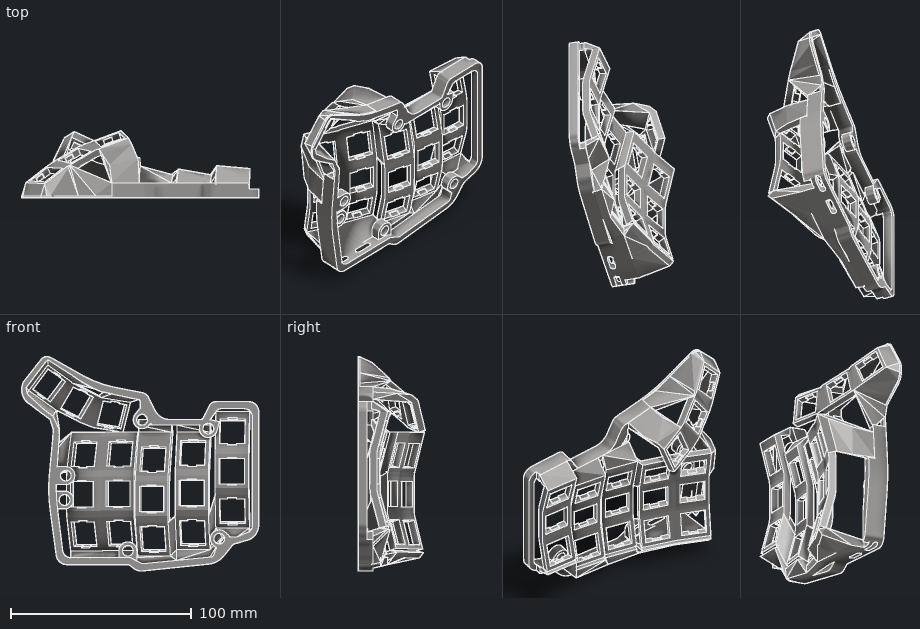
import cadquery as cq
import math


PLATE_W = 18.7
PLATE_H = 19.0
THUMB_PLATE = 17.6
PLATE_T = 4.0
HOLE = 14.0
NOTCH_W = 5.0
NOTCH_DEPTH = 0.7
NOTCH_Y = 2.8
ROW_GAP = 3.55
ROW_TILT = 15.0
TENT_STEP = 5.0
BEVEL = 0.5
LIP_EXTRA = 2.0

COLUMN_CENTRES = [
    (33.2, 23.5, 42.7),
    (53.2, 15.6, 43.0),
    (71.8, 4.6, 40.0),
    (94.0, 4.5, 43.4),
    (116.2, 7.2, 55.4),
]
BEVEL_START_Z = [73.8, 74.4, 73.4, 77.0, 88.4]
RIM_TOP_Z = [77.0, 77.2, 77.0, 77.0, 88.4]

THUMB_POSES = [
    ((15.2, 9.5, 102.8), (26.0, 20.0, 31.5)),
    ((30.6, 19.8, 93.1), (22.0, 19.1, 24.9)),
    ((50.0, 28.55, 86.5), (17.9, 17.1, 8.9)),
]

RIM_Y = 8.3
RIM_LOW_Y = 5.0
RIM_THUMB_Y = 1.1
LEFT_WALL_Y = 12.2
LOW_X = 126.0
THUMB_RIGHT_X = 49.9
THUMB_BOTTOM_Z = 72.1
LEFT_WALL_X = 21.5
LEFT_WALL_Z = (3.65, 52.0)
RIM_W = 3.95
STEEP_HEEL_Y = 16.2
HEEL_Y = 12.5
HEEL_RISE = 0.9

OUTER = [
    (12.9, 120.15, 4.0),
    (42.2, 103.7, 60.0),
    (69.1, 98.5, 5.0),
    (76.3, 84.1, 9.0),
    (99.9, 84.1, 1.5),
    (105.0, 94.0, 4.0),
    (131.2, 94.0, 5.7),
    (131.2, 19.1, 8.9),
    (117.0, 14.9, 3.0),
    (108.6, 4.5, 13.0),
    (64.2, -0.1, 7.0),
    (59.2, 3.65, 1.0),
    (19.7, 3.65, 6.2),
    (14.3, 44.0, 85.0),
    (17.9, 82.4, 5.0),
    (-0.07, 95.7, 9.0),
    (-0.07, 103.3, 6.0),
]
INNER = [
    (14.6, 117.7, 1.5),
    (35.0, 103.5, 30.0),
    (43.4, 99.5, 10.0),
    (65.5, 94.8, 1.0),
    (65.5, 90.0, 3.0),
    (72.0, 81.0, 2.0),
    (102.0, 80.9, 3.0),
    (108.8, 90.0, 3.0),
    (127.5, 90.0, 4.5),
    (127.5, 22.7, 4.0),
    (119.0, 19.0, 4.0),
    (112.0, 19.0, 3.0),
    (107.2, 12.0, 2.0),
    (106.0, 8.1, 2.0),
    (66.6, 4.2, 3.0),
    (60.2, 7.6, 1.0),
    (23.2, 7.6, 4.5),
    (18.7, 44.0, 85.0),
    (21.0, 78.9, 8.0),
    (2.3, 97.2, 3.0),
    (1.7, 100.7, 3.0),
]

LEFT_BULGE = [(17.5, 21.0, 53.0), (17.9, 21.0, 69.0), (21.5, 23.0, 71.3)]
THUMB_BULGE = [(48.6, 18.0, 101.2), (64.4, 21.5, 98.5)]
THUMB_LIP = 1.0

BOSS_R = 4.95
SCREW_D = 5.9
BOSS_H = 5.0
BOSSES = [
    ((24.4, 53.0), (17.0, 53.0), 0.0),
    ((23.7, 39.5), (17.0, 39.5), 2.4),
    ((66.6, 83.9), (70.0, 88.0), 0.0),
    ((103.2, 79.0), (104.5, 84.0), 0.0),
    ((109.3, 18.1), (112.5, 15.0), 0.0),
    ((58.7, 11.4), (58.7, 6.0), 3.0),
]

SLOT_X = (25.8, 43.0)
SLOT_Y = 4.2
SLOT_L = 10.5
SLOT_H = 3.0


def sub(a, b):
    return tuple(p - q for p, q in zip(a, b))


def add(a, b):
    return tuple(p + q for p, q in zip(a, b))


def dot(a, b):
    return sum(p * q for p, q in zip(a, b))


def cross(a, b):
    return (
        a[1] * b[2] - a[2] * b[1],
        a[2] * b[0] - a[0] * b[2],
        a[0] * b[1] - a[1] * b[0],
    )


def unit(a):
    length = math.sqrt(dot(a, a))
    return tuple(p / length for p in a)


def mix(a, b, t):
    return tuple(p + (q - p) * t for p, q in zip(a, b))


def hull_face(points, i, j, k, flat=1e-5):
    """Indices of the hull face through three points, in order, or None."""
    normal = cross(sub(points[j], points[i]), sub(points[k], points[i]))
    if dot(normal, normal) < flat * flat * 1e6:
        return None
    normal = unit(normal)
    heights = [dot(normal, sub(p, points[i])) for p in points]
    if max(heights) > flat and min(heights) < -flat:
        return None
    u = unit(sub(points[j], points[i]))
    v = cross(normal, u)
    on_face = [n for n, h in enumerate(heights) if abs(h) <= flat]
    flattened = {n: (round(dot(points[n], u), 6), round(dot(points[n], v), 6)) for n in on_face}
    on_face.sort(key=flattened.get)
    return half_border(on_face, flattened) + half_border(on_face[::-1], flattened)


def half_border(order, flattened, straight=1e-4):
    """One side of a flat convex border, leaving out its last point and all inner points."""
    border = []
    for n in order:
        while len(border) > 1:
            ax, ay = sub(flattened[border[-1]], flattened[border[-2]])
            bx, by = sub(flattened[n], flattened[border[-1]])
            if ax * by - ay * bx > straight:
                break
            border.pop()
        border.append(n)
    return border[:-1]


def hull(points):
    """Convex solid wrapped around a few points."""
    points = list(dict.fromkeys(tuple(round(c, 9) for c in p) for p in points))
    count = len(points)
    faces = {}
    for i in range(count):
        for j in range(i + 1, count):
            for k in range(j + 1, count):
                face = hull_face(points, i, j, k)
                if face:
                    faces[frozenset(face)] = face
    shells = []
    for face in faces.values():
        wire = cq.Wire.makePolygon([cq.Vector(*points[n]) for n in face], close=True)
        shells.append(cq.Face.makeFromWires(wire))
    return cq.Solid.makeSolid(cq.Shell.makeShell(shells))


def rounded_outline(corners, depth):
    """Polygon in XZ with rounded corners, extruded from Y = 0 to Y = depth."""
    steps = []
    for n, (x, z, radius) in enumerate(corners):
        before = corners[n - 1]
        after = corners[(n + 1) % len(corners)]
        to_before = unit((before[0] - x, before[1] - z))
        to_after = unit((after[0] - x, after[1] - z))
        half = math.acos(dot(to_before, to_after)) / 2
        reach = radius / math.tan(half)
        bisector = unit(add(to_before, to_after))
        top = radius / math.sin(half) - radius
        start = (x + to_before[0] * reach, z + to_before[1] * reach)
        middle = (x + bisector[0] * top, z + bisector[1] * top)
        end = (x + to_after[0] * reach, z + to_after[1] * reach)
        steps.append((start, middle, end))
    path = cq.Workplane("XZ").moveTo(*steps[0][0])
    for n, (start, middle, end) in enumerate(steps):
        if n:
            path = path.lineTo(*start)
        path = path.threePointArc(middle, end)
    return path.close().extrude(-depth)


def box(x0, x1, y0, y1, z0, z1):
    return cq.Workplane("XY").box(x1 - x0, y1 - y0, z1 - z0, centered=False).translate((x0, y0, z0))


def turn(point, axis, degrees):
    """Rotate a point about the X (0), Y (1) or Z (2) axis."""
    a, b = (axis + 1) % 3, (axis + 2) % 3
    c, s = math.cos(math.radians(degrees)), math.sin(math.radians(degrees))
    out = list(point)
    out[a] = c * point[a] - s * point[b]
    out[b] = s * point[a] + c * point[b]
    return tuple(out)


def finger_key(column, row):
    """Placement of a finger plate; row is -1 (bottom), 0 or 1 (top)."""
    tent = -TENT_STEP * (len(COLUMN_CENTRES) - column)
    half_tilt = math.radians(ROW_TILT / 2)
    tilt = math.radians(ROW_TILT)
    offset_y = abs(row) * (ROW_GAP * math.sin(half_tilt) + PLATE_H / 2 * math.sin(tilt))
    offset_z = row * (PLATE_H / 2 + ROW_GAP * math.cos(half_tilt) + PLATE_H / 2 * math.cos(tilt))

    def place(point):
        tilted = add(turn(point, 0, -row * ROW_TILT), (0, offset_y, offset_z))
        return add(turn(tilted, 2, tent), COLUMN_CENTRES[column])

    return place


def thumb_key(number):
    centre, (about_z, about_x, about_y) = THUMB_POSES[number]

    def place(point):
        return add(turn(turn(turn(point, 1, about_y), 0, about_x), 2, about_z), centre)

    return place


def block(place, width, height, y0, y1):
    w, h = width / 2, height / 2
    return hull([place((x, y, z)) for x in (-w, w) for y in (y0, y1) for z in (-h, h)])


def switch_hole(place):
    """Square through hole with clip notches, open to the front, in its upper and lower walls."""
    through = block(place, HOLE, HOLE, -1, PLATE_T + 1)
    notch = block(place, NOTCH_W, HOLE + 2 * NOTCH_DEPTH, -1, NOTCH_Y)
    return [through, notch]


def corner(place, width, height, side, end):
    """Front and back points of one plate corner; side and end are -1 or 1."""
    return [place((side * width / 2, y, end * height / 2)) for y in (0, PLATE_T)]


def finger_corner(column, row, side, end):
    return corner(finger_key(column, row), PLATE_W, PLATE_H, side, end)


def thumb_corner(number, side, end):
    return corner(thumb_key(number), THUMB_PLATE, THUMB_PLATE, side, end)


def finger_edge(column, row, side):
    return finger_corner(column, row, side, -1) + finger_corner(column, row, side, 1)


def plate_level(column, side, z):
    """Front and back points of a top plate's side edge, run along the plate to height z."""
    low = finger_corner(column, 1, side, -1)
    high = finger_corner(column, 1, side, 1)
    return [mix(p, q, (z - p[2]) / (q[2] - p[2])) for p, q in zip(low, high)]


def top_corner(column, side):
    """Front and back end points of a column's top edge, bevelled at the front if it rises so far."""
    front, back = plate_level(column, side, RIM_TOP_Z[column])
    if RIM_TOP_Z[column] > BEVEL_START_Z[column]:
        front = mix(front, back, BEVEL / PLATE_T)
    return [front, back]


def top_strip(column, side):
    """All side points of the strip above a column's top plate."""
    bevel_start = plate_level(column, side, BEVEL_START_Z[column])
    return finger_corner(column, 1, side, 1) + bevel_start + top_corner(column, side)


def bottom_corner(column, side):
    """Bottom row corner: front point, extended back point and folded lip point."""
    front = finger_corner(column, -1, side, -1)[0]
    back = finger_key(column, -1)((side * PLATE_W / 2, PLATE_T, -PLATE_H / 2 - LIP_EXTRA))
    return [front, back, add(back, (0, -2.3, -3.0))]


def finger_field():
    columns = range(len(COLUMN_CENTRES))
    parts = []
    for column in columns:
        for row in (-1, 0, 1):
            parts.append(block(finger_key(column, row), PLATE_W, PLATE_H, 0, PLATE_T))
        for row in (-1, 0):
            web = []
            for side in (-1, 1):
                web += finger_corner(column, row, side, 1) + finger_corner(column, row + 1, side, -1)
            parts.append(hull(web))
        rim = []
        for side in (-1, 1):
            rim += top_strip(column, side)
        parts.append(hull(rim))
    return parts


def column_webs():
    """Webs between neighbouring columns; only the first two columns join over their full height."""
    parts = []
    for column, rows in ((0, (-1, 0, 1)), (1, (1,)), (2, (-1,)), (3, (-1,))):
        for row in rows:
            parts.append(hull(finger_edge(column, row, 1) + finger_edge(column + 1, row, -1)))
    for row in (-1, 0):
        web = []
        for column, side in ((0, 1), (1, -1)):
            web += finger_corner(column, row, side, 1) + finger_corner(column, row + 1, side, -1)
        parts.append(hull(web))
    for column in (0, 1):
        parts.append(hull(top_strip(column, 1) + top_strip(column + 1, -1)))
    return parts


def thumb_field():
    parts = []
    for number in range(len(THUMB_POSES)):
        parts.append(block(thumb_key(number), THUMB_PLATE, THUMB_PLATE, 0, PLATE_T))
    for number in (0, 1):
        web = []
        for end in (-1, 1):
            web += thumb_corner(number, 1, end) + thumb_corner(number + 1, -1, end)
        parts.append(hull(web))
    return parts


def rim_points(x, z_inner, z_outer, y=RIM_Y):
    """Foot of a wall on the rim: inner and outer points at the rim's back and just below it."""
    return [(x, level, z) for z in (z_inner, z_outer) for level in (y - 1, y)]


def bottom_z(x):
    """Lower edge of the rim under the finger columns."""
    right, left, step = OUTER[9], OUTER[10], OUTER[11]
    if x < left[0]:
        return step[1]
    return left[1] + (right[1] - left[1]) * (x - left[0]) / (right[0] - left[0])


def bottom_feet(x):
    """Foot of a bottom wall; its outer face stands on past the back of the rim."""
    z = bottom_z(x)
    if z == OUTER[11][1]:
        heel = (x, STEEP_HEEL_Y, z)
    else:
        heel = (x, HEEL_Y, z + HEEL_RISE)
    return rim_points(x, z + RIM_W, z) + [heel]


def bottom_walls():
    parts = []
    joints = []
    for column in range(4):
        left, right = bottom_corner(column, -1), bottom_corner(column, 1)
        left_foot, right_foot = bottom_feet(left[0][0]), bottom_feet(right[0][0])
        joints.append((left + left_foot, right + right_foot))
        parts.append(hull(left + right + left_foot + right_foot))
    for before, after in zip(joints, joints[1:]):
        parts.append(hull(before[1] + after[0]))
    return parts


def right_bottom_wall():
    """Wall below the rightmost column, standing on the sloping corner of the rim."""
    left_foot = rim_points(111.0, 19.0, 14.0)
    right_foot = rim_points(125.5, 21.5, 18.0, RIM_LOW_Y)
    middle_foot = rim_points(119.0, 19.0, 15.6)
    left, right = bottom_corner(4, -1), bottom_corner(4, 1)
    left = [left[0], left[1]]
    right = [right[0], right[1]]
    neighbour = bottom_corner(3, 1)
    return [
        hull(left + right + left_foot + middle_foot),
        hull(right + middle_foot + right_foot),
        hull(left + left_foot + neighbour + bottom_feet(neighbour[0][0])),
    ]


def top_walls():
    parts = []
    for column, z_inner, z_outer in ((2, 80.9, 84.1), (3, 80.9, 84.1), (4, 90.0, 94.0)):
        wall = []
        for side in (-1, 1):
            edge = top_corner(column, side)
            wall += edge + rim_points(edge[0][0], z_inner, z_outer)
        parts.append(hull(wall))
    return parts


def left_wall():
    """Curved side wall between the left column's top plate and the rim."""
    low = finger_corner(0, 1, -1, -1)
    high = top_corner(0, -1)
    parts = []
    lips = [add(low[1], (-5.0, -2.5, 0)), add(high[1], (-5.5, -3.5, -3.5))]
    parts.append(hull(low + high + lips))
    feet = []
    for x, z in ((15.2, 52.6), (19.2, 52.6), (16.5, 67.4), (20.5, 69.0)):
        feet += [(x, RIM_Y, z), (x, RIM_Y - 1, z)]
    parts.append(hull([low[0], high[0]] + lips + LEFT_BULGE + feet))
    return parts


def thumb_feet(*pairs):
    """Feet on the thin thumb rim, from (x, z) points."""
    return [(x, y, z) for x, z in pairs for y in (0, RIM_THUMB_Y)]


def thumb_walls():
    tip_low, tip_high = thumb_corner(0, -1, -1), thumb_corner(0, -1, 1)
    inner_low, inner_high = thumb_corner(0, 1, -1), thumb_corner(0, 1, 1)
    next_low, next_high = thumb_corner(1, -1, -1), thumb_corner(1, -1, 1)
    crest = [
        thumb_key(0)((side * THUMB_PLATE / 2, PLATE_T - THUMB_LIP, THUMB_PLATE / 2 + THUMB_LIP))
        for side in (-1, 1)
    ]
    left_foot = thumb_feet((0.6, 104.5), (2.2, 102.2))
    top_left_foot = thumb_feet((10.6, 117.2), (12.6, 115.6))
    tip_foot = thumb_feet((13.8, 118.7), (16.2, 118.3), (14.6, 117.0))
    top_foot = thumb_feet((31.3, 109.8), (29.6, 107.4))
    bend_foot = thumb_feet((41.0, 104.2), (41.0, 100.8))
    corner_foot = thumb_feet((0.0, 99.0), (1.7, 95.0), (2.2, 99.0), (3.3, 96.5))
    low_foot = thumb_feet((10.5, 87.9), (12.0, 89.8))
    neck_foot = thumb_feet((15.6, 84.1), (17.2, 86.0))
    elbow_foot = [(x, y, 78.0) for x in (17.5, 21.0) for y in (0, RIM_THUMB_Y)]
    rim_start = rim_points(17.0, THUMB_BOTTOM_Z, THUMB_BOTTOM_Z - 1)
    rim_start += rim_points(20.8, THUMB_BOTTOM_Z, THUMB_BOTTOM_Z - 1)
    end_foot = rim_points(THUMB_RIGHT_X, 98.3, 102.2)
    end_base = thumb_feet((THUMB_RIGHT_X, 98.3), (THUMB_RIGHT_X, 102.2))
    return [
        hull(tip_low + tip_high + left_foot + top_left_foot),
        hull(tip_high + crest[:1] + top_left_foot + tip_foot),
        hull(tip_high + inner_high + crest + tip_foot + top_foot),
        hull(inner_high + next_high + crest[1:] + top_foot),
        hull(next_high + top_foot + bend_foot),
        hull(next_high + bend_foot + end_foot + end_base),
        hull(tip_low + left_foot + corner_foot),
        hull(tip_low + inner_low + corner_foot + low_foot),
        hull(inner_low + next_low + low_foot + neck_foot),
        hull(next_low + neck_foot + elbow_foot),
        hull(next_low + elbow_foot + rim_start),
    ]


def thumb_back_wall():
    """Tall wall from the innermost thumb plate down to the rim."""
    left, right = thumb_corner(2, -1, 1), thumb_corner(2, 1, 1)
    lips = [add(left[1], (1.8, -3.0, 1.5)), add(right[1], (1.9, -3.6, 3.0))]
    feet = rim_points(THUMB_RIGHT_X, 98.3, 102.2) + rim_points(65.2, 95.2, 99.2)
    return [hull(left + right + lips), hull([left[0], right[0]] + lips + THUMB_BULGE + feet)]


def base_rim():
    full = rounded_outline(OUTER, LEFT_WALL_Y).cut(rounded_outline(INNER, LEFT_WALL_Y))
    rim = full.intersect(box(-1, 140, 0, RIM_Y, -1, 125))
    rim = rim.cut(box(-1, THUMB_RIGHT_X, RIM_THUMB_Y, RIM_Y, THUMB_BOTTOM_Z, 125))
    rim = rim.cut(box(LOW_X, 140, RIM_LOW_Y, RIM_Y, -1, 125))
    left = full.intersect(box(-1, LEFT_WALL_X, 0, LEFT_WALL_Y, *LEFT_WALL_Z))
    return rim.union(left)


def boss(centre, anchor, set_back):
    arm = sub(anchor, centre)
    length = math.hypot(*arm)
    web = (
        cq.Workplane("XZ")
        .center(*mix(centre, anchor, 0.5))
        .transformed(rotate=(0, 0, math.degrees(math.atan2(arm[1], arm[0]))))
        .rect(length, 2 * BOSS_R)
        .extrude(-BOSS_H)
    )
    disc = cq.Workplane("XZ").center(*centre).circle(BOSS_R).extrude(-BOSS_H)
    trimmed = disc.union(web).intersect(rounded_outline(OUTER, BOSS_H))
    return trimmed.translate((0, set_back, 0)).val()


def screw_hole(centre, set_back):
    hole = cq.Workplane("XZ").center(*centre).circle(SCREW_D / 2).extrude(-BOSS_H - set_back)
    return hole.val()


def cable_slot(x):
    slot = cq.Workplane("XY").center(x, SLOT_Y).slot2D(SLOT_L, SLOT_H)
    return slot.extrude(INNER[16][1] + 1).val()


solids = finger_field() + column_webs() + thumb_field()
solids += bottom_walls() + right_bottom_wall() + top_walls() + left_wall()
solids += thumb_walls() + thumb_back_wall()
solids += [boss(*pose) for pose in BOSSES]

cutters = []
for column in range(len(COLUMN_CENTRES)):
    for row in (-1, 0, 1):
        cutters += switch_hole(finger_key(column, row))
for number in range(len(THUMB_POSES)):
    cutters += switch_hole(thumb_key(number))
cutters += [screw_hole(centre, set_back) for centre, _, set_back in BOSSES]
cutters += [cable_slot(x) for x in SLOT_X]

body = base_rim().val().fuse(*solids).cut(*cutters)
result = cq.Workplane(body.clean())